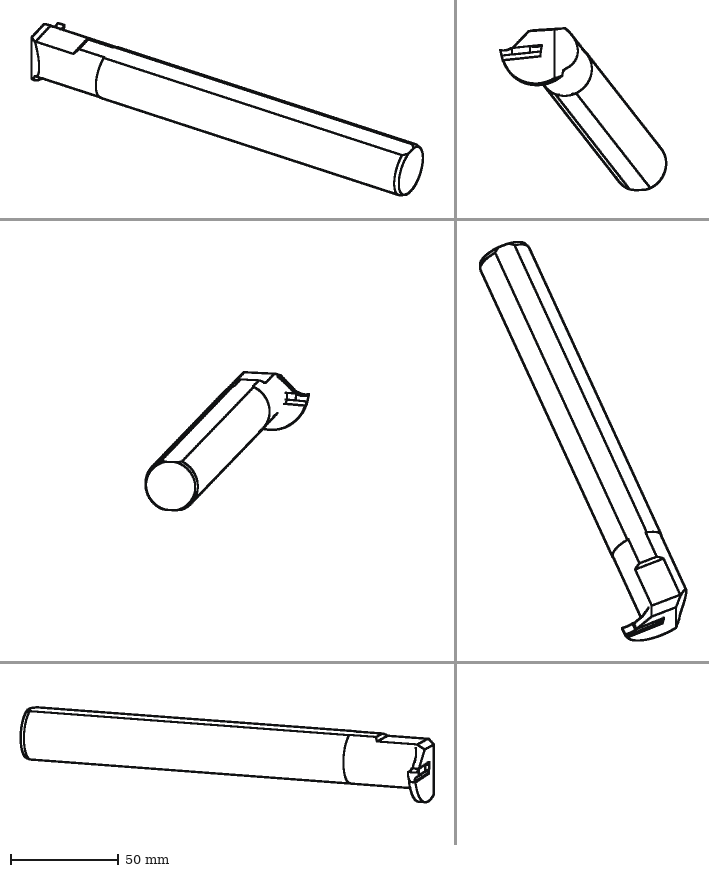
import cadquery as cq
import math

LENGTH = 200.0
SHANK_RADIUS = 25.0 / 2
FLAT_HEIGHT = 23.0 / 2
END_CHAMFER_LENGTH = 2.0
END_CHAMFER_DEPTH = 0.8

NECK_RADIUS = 24.6 / 2
NECK_END = 40.0
SHOULDER_LENGTH = 0.6
SHOULDER_START = NECK_END - SHOULDER_LENGTH

POCKET_HEIGHT = 10.0
POCKET_START = 4.6
POCKET_END = 24.6
BEVEL_HEIGHT = 8.2

BLADE_RADIUS = 34.6 / 2
BLADE_BACK = 3.5
FACE_X = 0.2
BLADE_OFFSET = 4.8
BLADE_FILLET = 1.5

CORNER_Y = -3.0

OVERALL_DEPTH = 35.2
TIP_Y = OVERALL_DEPTH - SHANK_RADIUS
INSERT_LENGTH = 19.8
INSERT_HEIGHT = 5.0
INSERT_WIDTH = 3.6
INSERT_TILT = 2.5
CLEARANCE_ANGLE = 10.0
RAKE_LENGTH = 4.6
CREST_LENGTH = 5.5
CREST_HEIGHT = 0.5
RAKE_DIP = 0.5
CORNER_RADIUS = 0.5
WAIST_START = 5.6
WAIST_DEPTH = 0.2
KEEL_HEIGHT = 2.2
KEEL_INSET = 0.8

REACH = 3 * SHANK_RADIUS


def make_shank():
    """Round bar behind the neck, with a sloped shoulder, two flats and an end chamfer."""
    outline = [
        (SHOULDER_START, 0),
        (SHOULDER_START, NECK_RADIUS),
        (NECK_END, SHANK_RADIUS),
        (LENGTH - END_CHAMFER_LENGTH, SHANK_RADIUS),
        (LENGTH, SHANK_RADIUS - END_CHAMFER_DEPTH),
        (LENGTH, 0),
    ]
    bar = cq.Workplane("XY").polyline(outline).close().revolve(360, (0, 0), (1, 0))
    between_flats = cq.Workplane("XY").box(LENGTH, REACH, 2 * FLAT_HEIGHT, (False, True, True))
    return bar.intersect(between_flats)


def blade_disc(thickness):
    """Disc offset towards +Y, running back from X = 0."""
    return cq.Workplane("YZ").center(BLADE_OFFSET, 0).circle(BLADE_RADIUS).extrude(thickness)


def make_neck():
    """Round neck whose front end flares with a fillet into the back of the blade."""
    flare_radius = NECK_RADIUS + BLADE_FILLET
    mid = BLADE_FILLET * (1 - math.sqrt(0.5))
    flare_end = BLADE_BACK + BLADE_FILLET
    neck = (
        cq.Workplane("XY")
        .moveTo(0, 0)
        .lineTo(0, NECK_RADIUS)
        .lineTo(BLADE_BACK, NECK_RADIUS)
        .lineTo(BLADE_BACK, flare_radius)
        .threePointArc((BLADE_BACK + mid, NECK_RADIUS + mid), (flare_end, NECK_RADIUS))
        .lineTo(SHOULDER_START, NECK_RADIUS)
        .lineTo(SHOULDER_START, 0)
        .close()
        .revolve(360, (0, 0), (1, 0))
    )
    blade_column = blade_disc(NECK_END)
    neck_core = cq.Workplane("YZ").circle(NECK_RADIUS).extrude(NECK_END)
    return neck.intersect(blade_column.union(neck_core))


def top_cut():
    """Material above the bevel, the pocket floor, its 45 degree end and the top flat."""
    ramp_end = POCKET_END + FLAT_HEIGHT - POCKET_HEIGHT
    return (
        cq.Workplane("XZ")
        .polyline([
            (0, BEVEL_HEIGHT),
            (POCKET_START, POCKET_HEIGHT),
            (POCKET_END, POCKET_HEIGHT),
            (ramp_end, FLAT_HEIGHT),
            (NECK_END, FLAT_HEIGHT),
            (NECK_END, REACH),
            (0, REACH),
        ])
        .close()
        .extrude(REACH, both=True)
    )


def face_cut():
    """Material ahead of the front face."""
    return cq.Workplane("XY").box(2 * FACE_X, 2 * REACH, 2 * REACH)


def corner_cut():
    """45 degree vertical cut on the -Y front corner."""
    return (
        cq.Workplane("XY")
        .polyline([(0, CORNER_Y), (0, -REACH), (REACH + CORNER_Y, -REACH)])
        .close()
        .extrude(REACH, both=True)
    )


def shoulder_cut():
    """45 degree cut tangent to the neck that takes the upper +Y part off the blade."""
    tangent_reach = NECK_RADIUS * math.sqrt(2)
    return (
        cq.Workplane("YZ")
        .polyline([(tangent_reach, 0), (REACH, 0), (REACH, REACH), (tangent_reach - REACH, REACH)])
        .close()
        .extrude(NECK_END)
    )


def seat_prism():
    """Full-width prism for the insert: slanted ends, flat top at crest height."""
    half = INSERT_LENGTH / 2
    lean = INSERT_HEIGHT * math.tan(math.radians(CLEARANCE_ANGLE))
    right = [(half - lean, -INSERT_HEIGHT), (half, 0), (half, CREST_HEIGHT)]
    left = [(-y, z) for y, z in reversed(right)]
    return cq.Workplane("YZ").polyline(right + left).close().extrude(INSERT_WIDTH)


def rake_cut(end):
    """Hollow rake behind one cutting edge; end is +1 for the +Y tip and -1 for the other."""
    tip = INSERT_LENGTH / 2
    return (
        cq.Workplane("YZ")
        .moveTo(end * tip, 0)
        .threePointArc((end * (tip - RAKE_LENGTH / 2), -RAKE_DIP), (end * (tip - RAKE_LENGTH), 0))
        .lineTo(end * (tip - CREST_LENGTH), CREST_HEIGHT)
        .lineTo(end * tip, CREST_HEIGHT)
        .close()
        .extrude(INSERT_WIDTH)
    )


def place_insert(body):
    """Move a body centred on the insert to its seat and tilt it about the front tip."""
    moved = body.translate((0, TIP_Y - INSERT_LENGTH / 2, 0))
    return moved.rotate((0, TIP_Y, 0), (1, TIP_Y, 0), -INSERT_TILT)


def make_insert():
    """Insert with two tips, a thinner waist between them and a keel narrowing downwards."""
    waist_length = INSERT_LENGTH - 2 * WAIST_START
    body = seat_prism()
    for end in (1, -1):
        body = body.cut(rake_cut(end))
    for end_face in (">Y", "<Y"):
        body = body.faces(end_face).edges("not(|X)").fillet(CORNER_RADIUS)
    keel_top = KEEL_HEIGHT - INSERT_HEIGHT
    for side in (0, INSERT_WIDTH):
        waist = cq.Workplane("XY").box(
            2 * WAIST_DEPTH, waist_length, INSERT_HEIGHT, (True, True, False)
        ).translate((side, 0, keel_top))
        inward = KEEL_INSET if side == 0 else -KEEL_INSET
        keel = (
            cq.Workplane("XZ")
            .polyline([(side, keel_top), (side, -INSERT_HEIGHT), (side + inward, -INSERT_HEIGHT)])
            .close()
            .extrude(INSERT_LENGTH, both=True)
        )
        body = body.cut(waist).cut(keel)
    return place_insert(body)


def make_holder():
    """Blade, neck and shank in one piece, with the seat cut for the insert."""
    front = make_neck().union(blade_disc(BLADE_BACK))
    front = front.cut(face_cut()).cut(top_cut()).cut(corner_cut()).cut(shoulder_cut())
    return front.union(make_shank()).cut(place_insert(seat_prism()))


holder = make_holder()
insert = make_insert()
result = cq.Compound.makeCompound([holder.val(), insert.val()])